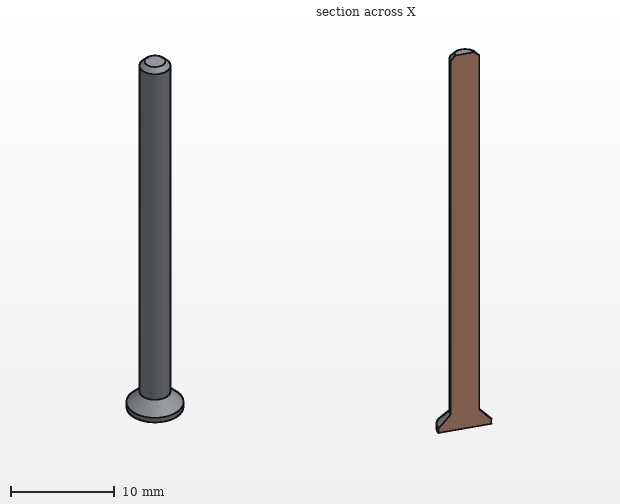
import cadquery as cq

total_length = 40.0
shank_diameter = 3.0
head_diameter = 5.5
head_rim_height = 0.55
tip_chamfer = 0.5

shank_radius = shank_diameter / 2
head_radius = head_diameter / 2
cone_height = head_radius - shank_radius


def make_head():
    """Cylindrical rim with a cone tapering up to the shank."""
    rim = cq.Workplane("XY").circle(head_radius).extrude(head_rim_height)
    cone = cq.Solid.makeCone(
        head_radius,
        shank_radius,
        cone_height,
        pnt=cq.Vector(0, 0, head_rim_height),
    )
    return rim.union(cq.Workplane(obj=cone))


def make_shank():
    """Plain round shank with a chamfered tip."""
    shank = cq.Workplane("XY").circle(shank_radius).extrude(total_length)
    return shank.faces(">Z").chamfer(tip_chamfer)


result = make_head().union(make_shank())